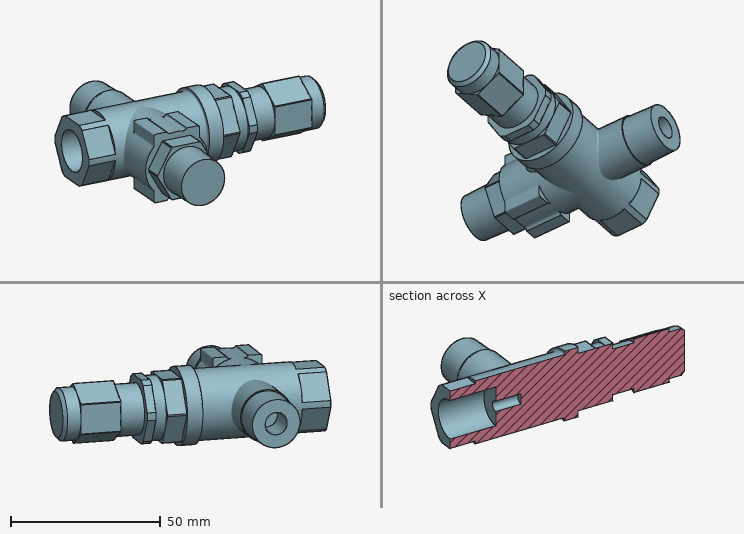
import cadquery as cq
import math


total_length = 92.51
y_bottom = -25.16
lower_hex_length = 10.0
body_top = 45.2
collar_length = 5.4
gland_hex_length = 6.7
neck_length = 3.85
lock_nut_length = 3.1
stem_length = 8.3
cap_hex_length = 14.0

body_diameter = 24.2
collar_diameter = 26.67
neck_diameter = 22.0
stem_diameter = 17.6
cap_diameter = 18.0
cap_chamfer = 1.25
collar_blend_radius = 0.5
branch_blend_radius = 0.4

HEX_SIDES = 6
body_hex_flats = 22.0
gland_hex_corners = 25.1
lock_nut_corners = 24.0
cap_hex_flats = 18.0
cap_hex_corners = 20.6
flats_facing_z = 0.0
flats_facing_x = 90.0

main_bore_diameter = 14.6
main_bore_depth = 18.0
needle_hole_diameter = 3.8
needle_hole_depth = 10.0

left_y = 0.45
left_end = -33.5
left_thread_length = 11.45
left_diameter = 18.1
left_tip_diameter = 16.6
left_bore_diameter = 7.7
left_bore_depth = 11.5
thread_taper = 1.0 / 16.0

overall_width = 79.22
right_end = left_end + overall_width
boss_diameter = 23.7
boss_end = 27.2
right_hex_end = 33.8
right_hex_flats = 19.0
right_hex_corners = 21.7
right_tip_diameter = 16.5

pad_start = 12.95
pad_top = 12.4
pad_inner_y = 3.75
pad_outer_y = 8.6
pad_edge_radius = 0.6
pad_hollow_width = 1.6
pad_hollow_sag = 0.3
pad_foot_reach = 0.2
pad_foot_height = 0.8

web_diameter = 8.6
web_angle = 35.0
web_corner_y = 14.7
web_overlap = 6.0
web_length = 18.0


def rod_y(diameter, y_start, y_end):
    """Cylinder on the main axis."""
    return cq.Workplane("XZ", origin=(0, y_start, 0)).circle(diameter / 2).extrude(y_start - y_end)


def rod_x(diameter, x_start, x_end, y=0.0):
    """Cylinder along X."""
    return cq.Workplane("YZ", origin=(x_start, y, 0)).circle(diameter / 2).extrude(x_end - x_start)


def cone_x(tip_diameter, x_tip, x_root, y=0.0):
    """Pipe thread along X that widens from its tip to its root."""
    length = abs(x_root - x_tip)
    tip_radius = tip_diameter / 2
    root_radius = tip_radius + length * thread_taper / 2
    profile = [(x_tip, y), (x_tip, y + tip_radius), (x_root, y + root_radius), (x_root, y)]
    return cq.Workplane("XY").polyline(profile).close().revolve(360, (0, y, 0), (1, y, 0))


def hexagon(workplane, flats, turn):
    """Hexagon outline of a given width across flats."""
    corner_diameter = flats / math.cos(math.pi / HEX_SIDES)
    return workplane.transformed(rotate=(0, 0, turn)).polygon(HEX_SIDES, corner_diameter)


def hex_y(flats, corners, y_start, y_end, turn):
    """Hexagon on the main axis with its corners turned down to a diameter."""
    workplane = cq.Workplane("XZ", origin=(0, y_start, 0))
    prism = hexagon(workplane, flats, turn).extrude(y_start - y_end)
    return prism.intersect(rod_y(corners, y_start, y_end))


def hex_x(flats, corners, x_start, x_end):
    """Hexagon along X, two flats facing +/-Z, with its corners turned down to a diameter."""
    workplane = cq.Workplane("YZ", origin=(x_start, 0, 0))
    prism = hexagon(workplane, flats, flats_facing_z).extrude(x_end - x_start)
    return prism.intersect(rod_x(corners, x_start, x_end))


def round_web():
    """Sloping cylinder whose crest runs from the body down to the boss."""
    radius = web_diameter / 2
    angle = math.radians(web_angle)
    slope = cq.Vector(math.cos(angle), -math.sin(angle), 0)
    inward = cq.Vector(-math.sin(angle), -math.cos(angle), 0)
    crest = cq.Vector(body_diameter / 2, web_corner_y, 0)
    start = crest + inward * radius - slope * web_overlap
    return cq.Workplane(obj=cq.Solid.makeCylinder(radius, web_length, start, slope))


def barrel_with_collar():
    """Barrel turned in one piece with its collar and the fillet under the collar."""
    y_start = y_bottom + lower_hex_length
    y_collar = y_bottom + body_top
    y_end = y_collar + collar_length
    barrel_radius = body_diameter / 2
    collar_radius = collar_diameter / 2
    blend_end = (barrel_radius + collar_blend_radius, y_collar)
    return (
        cq.Workplane("XY")
        .moveTo(0, y_start)
        .lineTo(barrel_radius, y_start)
        .lineTo(barrel_radius, y_collar - collar_blend_radius)
        .tangentArcPoint(blend_end, relative=False)
        .lineTo(collar_radius, y_collar)
        .lineTo(collar_radius, y_end)
        .lineTo(0, y_end)
        .close()
        .revolve(360, (0, 0, 0), (0, 1, 0))
    )


def main_body():
    """Barrel with its lower hexagon, both branch roots and the web between barrel and boss."""
    y_hex = y_bottom + lower_hex_length
    lower_hex = hex_y(body_hex_flats, body_diameter, y_bottom, y_hex, flats_facing_z)
    right_boss = rod_x(boss_diameter, 0, boss_end)
    left_branch = rod_x(left_diameter, left_end + left_thread_length, 0, left_y)
    joined = barrel_with_collar().union(right_boss).union(left_branch)
    joined = joined.edges("%BSPLINE").fillet(branch_blend_radius)
    return joined.union(lower_hex).union(round_web())


def upper_stack():
    """Gland hexagon, neck, lock nut, stem and cap above the collar."""
    y_gland = y_bottom + body_top + collar_length
    y_neck = y_gland + gland_hex_length
    y_nut = y_neck + neck_length
    y_stem = y_nut + lock_nut_length
    y_cap_hex = y_stem + stem_length
    y_cap = y_cap_hex + cap_hex_length
    y_top = y_bottom + total_length
    stack = hex_y(body_hex_flats, gland_hex_corners, y_gland, y_neck, flats_facing_z)
    stack = stack.union(rod_y(neck_diameter, y_neck, y_nut))
    stack = stack.union(hex_y(body_hex_flats, lock_nut_corners, y_nut, y_stem, flats_facing_z))
    stack = stack.union(rod_y(stem_diameter, y_stem, y_cap_hex))
    stack = stack.union(hex_y(cap_hex_flats, cap_hex_corners, y_cap_hex, y_cap, flats_facing_x))
    cap_end = rod_y(cap_diameter, y_cap, y_top).faces(">Y").chamfer(cap_chamfer)
    return stack.union(cap_end)


def grip_pad(side_y, side_z):
    """Pad with a rounded outer edge, a small foot radius and a hollow inner side."""
    boss_radius = boss_diameter / 2
    hollow_y = pad_inner_y - pad_hollow_width
    hollow_z = math.sqrt(boss_radius ** 2 - hollow_y ** 2)
    foot_y = pad_outer_y + pad_foot_reach
    foot_z = math.sqrt(boss_radius ** 2 - foot_y ** 2)
    profile = (
        cq.Workplane("YZ", origin=(pad_start, 0, 0))
        .moveTo(0, 0)
        .lineTo(hollow_y * side_y, hollow_z * side_z)
        .sagittaArc((pad_inner_y * side_y, pad_top * side_z), -pad_hollow_sag * side_y * side_z)
        .lineTo((pad_outer_y - pad_edge_radius) * side_y, pad_top * side_z)
        .tangentArcPoint((pad_outer_y * side_y, (pad_top - pad_edge_radius) * side_z), relative=False)
        .lineTo(pad_outer_y * side_y, (foot_z + pad_foot_height) * side_z)
        .tangentArcPoint((foot_y * side_y, foot_z * side_z), relative=False)
        .close()
    )
    return profile.extrude(boss_end - pad_start)


def right_fitting():
    """Hexagon and threaded end beyond the boss."""
    hexagon_part = hex_x(right_hex_flats, right_hex_corners, boss_end, right_hex_end)
    return hexagon_part.union(cone_x(right_tip_diameter, right_end, right_hex_end))


def bores():
    """Inlet bore with the needle hole beyond it, and the bore of the left branch."""
    y_floor = y_bottom + main_bore_depth
    main_bore = rod_y(main_bore_diameter, y_bottom, y_floor)
    needle_hole = rod_y(needle_hole_diameter, y_floor, y_floor + needle_hole_depth)
    left_bore = rod_x(left_bore_diameter, left_end, left_end + left_bore_depth, left_y)
    return main_bore.union(needle_hole).union(left_bore)


result = main_body().union(upper_stack())
for side_y in (-1, 1):
    for side_z in (-1, 1):
        result = result.union(grip_pad(side_y, side_z))
result = result.union(right_fitting())
result = result.union(cone_x(left_tip_diameter, left_end, left_end + left_thread_length, left_y))
result = result.cut(bores())